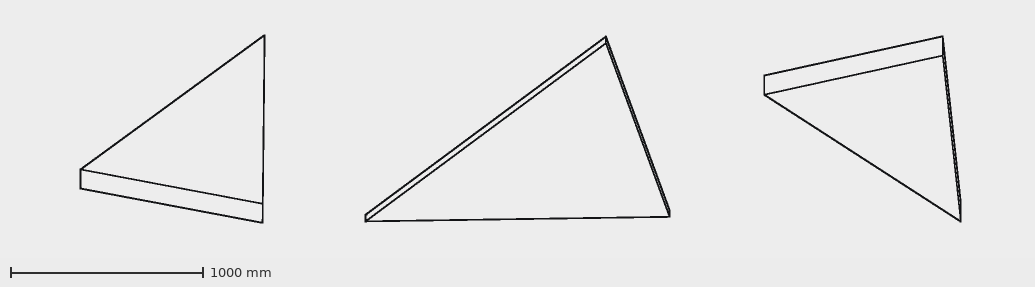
import cadquery as cq

length = 1500.0
base_width = length * 2 / 3
thickness = 120.0

outline = [
    (-base_width / 2, 0),
    (0, 0),
    (base_width / 2, 0),
    (0, length),
]

result = cq.Workplane("XY").polyline(outline).close().extrude(thickness, clean=False)